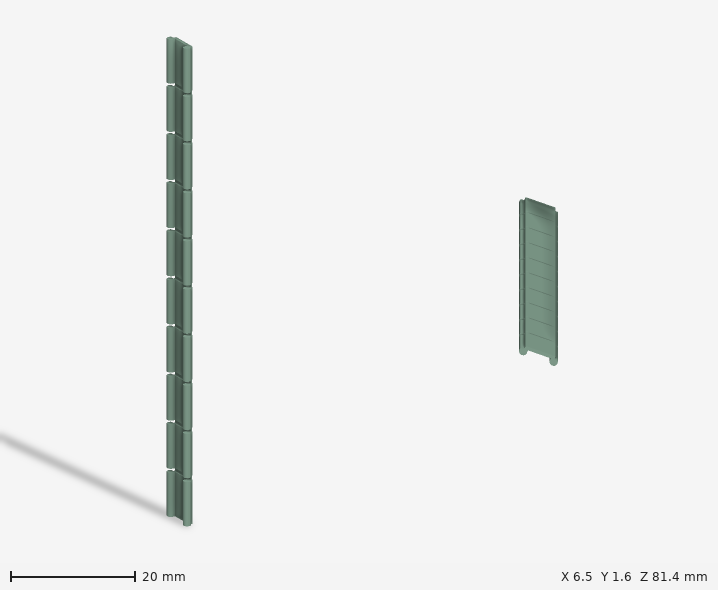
import cadquery as cq
import math

length = 81.4
width = 6.5
depth = 1.6

segment_count = 10
gap = 0.65
web_thickness = 0.2
web_inset = 0.1

plate_width = 5.1
plate_thickness = 0.6
bead_width = 1.3
inner_radius = 0.61
outer_radius = 0.6
shoulder_radius = 0.25

segment_length = (length - (segment_count - 1) * gap) / segment_count
pitch = segment_length + gap
back = depth / 2
front = -depth / 2
plate_front = back - plate_thickness
bead_outer = width / 2
bead_inner = bead_outer - bead_width


def strip(back_y, thickness, height):
    """Flat strip as wide as the plate, reaching forward from back_y."""
    return cq.Workplane("XY").center(0, back_y - thickness / 2).rect(plate_width, thickness).extrude(height)


def quarter_middle(center_x, center_y, radius, side_x, side_y):
    """Middle point of a quarter circle lying on the given sides of its centre."""
    offset = radius * math.sqrt(0.5)
    return (center_x + side_x * offset, center_y + side_y * offset)


def right_bead():
    """Bead on the +X side: rounded at the front and at its outer back shoulder."""
    inner_x = bead_inner + inner_radius
    inner_y = front + inner_radius
    outer_x = bead_outer - outer_radius
    outer_y = front + outer_radius
    shoulder_x = bead_outer - shoulder_radius
    shoulder_y = plate_front - shoulder_radius
    return (
        cq.Workplane("XY")
        .moveTo(bead_inner, plate_front)
        .lineTo(bead_inner, inner_y)
        .threePointArc(quarter_middle(inner_x, inner_y, inner_radius, -1, -1), (inner_x, front))
        .lineTo(outer_x, front)
        .threePointArc(quarter_middle(outer_x, outer_y, outer_radius, 1, -1), (bead_outer, outer_y))
        .lineTo(bead_outer, shoulder_y)
        .threePointArc(
            quarter_middle(shoulder_x, shoulder_y, shoulder_radius, 1, 1),
            (shoulder_x, plate_front),
        )
        .close()
        .extrude(segment_length)
    )


bead = right_bead()
segment = strip(back, plate_thickness, segment_length).union(bead).union(bead.mirror("YZ"))

result = strip(back - web_inset, web_thickness, length)
for index in range(segment_count):
    result = result.union(segment.translate((0, 0, index * pitch)))
result = result.translate((0, 0, -length / 2))